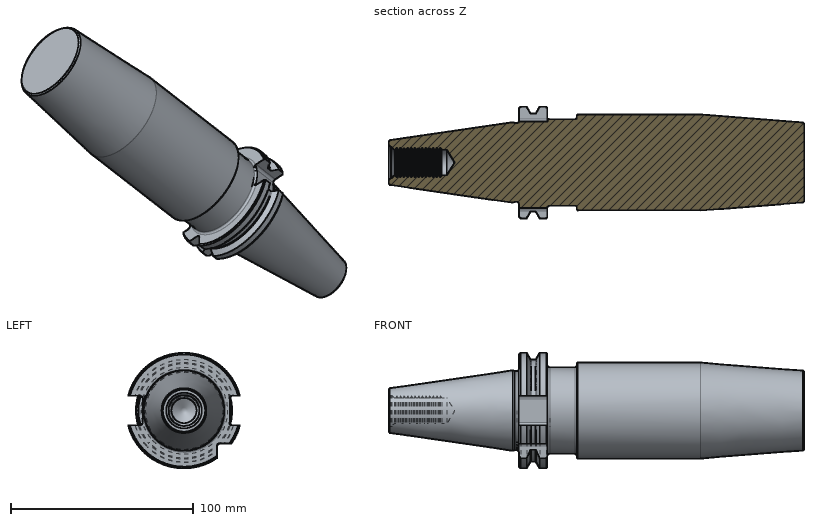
import cadquery as cq
import math

GAUGE_DIAMETER = 44.45
TAPER_PER_LENGTH = 7 / 24
SHANK_LENGTH = 68.25
TAIL_CHAMFER = 0.7
RELIEF_RADIUS = 21.8
RELIEF_START = -0.2
RELIEF_CHAMFER = 1.2
RELIEF_FILLET = 1.0

FLANGE_START = 3.2
FLANGE_END = 18.9
FLANGE_RADIUS = 63.55 / 2
FRONT_RIM_CHAMFER = 1.0
BACK_RIM_CHAMFER = 0.7
GROOVE_CENTER = 11.1
GROOVE_FLOOR_RADIUS = 56.25 / 2
GROOVE_FLOOR_WIDTH = 2.86
GROOVE_FILLET = 0.5
GROOVE_HALF_ANGLE = 30

SLOT_WIDTH = 16.1
NEAR_SLOT_FLOOR = 25.0
FAR_SLOT_FLOOR = 22.65
SLOT_FILLET = 1.5
NOTCH_Y = -18.2
NOTCH_Z = -18.2
NOTCH_FILLET = 1.2

NECK_RADIUS = 23.8
NECK_FILLET = 1.2
BODY_START = 35.0
BODY_RADIUS = 26.5
BODY_CHAMFER = 0.6
NOSE_LENGTH = 57.3
NOSE_ANGLE = 4.5
PROJECTION = 160.0
NOSE_CHAMFER = 0.8

COUNTERSINK_RADIUS = 9.8
PILOT_RADIUS = 8.5
PILOT_DEPTH = 1.6
THREAD_MINOR_RADIUS = 6.9
THREAD_MAJOR_RADIUS = 8.0
THREAD_PITCH = 2.0
THREAD_TURNS = 13
THREAD_CREST = 0.5
DRILL_DEPTH = 32.0
DRILL_TIP_ANGLE = 118


def revolved(outline):
    """Solid swept by a half profile turning about the X axis."""
    return outline.close().revolve(360, (0, 0, 0), (1, 0, 0))


def turned_body():
    """Shank, flange, neck, body and nose, turned from one profile."""
    gauge_radius = GAUGE_DIAMETER / 2
    half_taper = TAPER_PER_LENGTH / 2
    tail_radius = gauge_radius - SHANK_LENGTH * half_taper
    nose_start = PROJECTION - NOSE_LENGTH
    nose_slope = math.tan(math.radians(NOSE_ANGLE))
    nose_radius = BODY_RADIUS - NOSE_LENGTH * nose_slope
    groove_half = GROOVE_FLOOR_WIDTH / 2
    groove_rise = FLANGE_RADIUS - GROOVE_FLOOR_RADIUS
    groove_angle = math.radians(GROOVE_HALF_ANGLE)
    groove_mouth_half = groove_half + groove_rise * math.tan(groove_angle)
    fillet_reach = GROOVE_FILLET * math.tan((math.pi / 2 - groove_angle) / 2)
    flat_half = groove_half - fillet_reach
    flank_end = groove_half + fillet_reach * math.sin(groove_angle)
    flank_end_radius = GROOVE_FLOOR_RADIUS + fillet_reach * math.cos(groove_angle)
    outline = (
        cq.Workplane("XY")
        .moveTo(-SHANK_LENGTH, 0)
        .lineTo(-SHANK_LENGTH, tail_radius - TAIL_CHAMFER)
        .lineTo(TAIL_CHAMFER - SHANK_LENGTH, tail_radius + TAIL_CHAMFER * half_taper)
        .lineTo(RELIEF_START, gauge_radius + RELIEF_START * half_taper)
        .lineTo(RELIEF_START + RELIEF_CHAMFER, RELIEF_RADIUS)
        .lineTo(FLANGE_START - RELIEF_FILLET, RELIEF_RADIUS)
        .radiusArc((FLANGE_START, RELIEF_RADIUS + RELIEF_FILLET), -RELIEF_FILLET)
        .lineTo(FLANGE_START, FLANGE_RADIUS - FRONT_RIM_CHAMFER)
        .lineTo(FLANGE_START + FRONT_RIM_CHAMFER, FLANGE_RADIUS)
        .lineTo(GROOVE_CENTER - groove_mouth_half, FLANGE_RADIUS)
        .lineTo(GROOVE_CENTER - flank_end, flank_end_radius)
        .radiusArc((GROOVE_CENTER - flat_half, GROOVE_FLOOR_RADIUS), -GROOVE_FILLET)
        .lineTo(GROOVE_CENTER + flat_half, GROOVE_FLOOR_RADIUS)
        .radiusArc((GROOVE_CENTER + flank_end, flank_end_radius), -GROOVE_FILLET)
        .lineTo(GROOVE_CENTER + groove_mouth_half, FLANGE_RADIUS)
        .lineTo(FLANGE_END - BACK_RIM_CHAMFER, FLANGE_RADIUS)
        .lineTo(FLANGE_END, FLANGE_RADIUS - BACK_RIM_CHAMFER)
        .lineTo(FLANGE_END, NECK_RADIUS + NECK_FILLET)
        .radiusArc((FLANGE_END + NECK_FILLET, NECK_RADIUS), -NECK_FILLET)
        .lineTo(BODY_START - NECK_FILLET, NECK_RADIUS)
        .radiusArc((BODY_START, NECK_RADIUS + NECK_FILLET), -NECK_FILLET)
        .lineTo(BODY_START, BODY_RADIUS - BODY_CHAMFER)
        .lineTo(BODY_START + BODY_CHAMFER, BODY_RADIUS)
        .lineTo(nose_start, BODY_RADIUS)
        .lineTo(PROJECTION - NOSE_CHAMFER, nose_radius + NOSE_CHAMFER * nose_slope)
        .lineTo(PROJECTION, nose_radius - NOSE_CHAMFER)
        .lineTo(PROJECTION, 0)
    )
    return revolved(outline)


def flange_cutter(y_inner, y_outer, z_low, z_high):
    """Box across the flange thickness, between the given Y and Z limits."""
    thickness = FLANGE_END - FLANGE_START
    width = abs(y_outer - y_inner)
    block = cq.Workplane("XY").box(thickness, width, z_high - z_low, centered=False)
    return block.translate((FLANGE_START, min(y_inner, y_outer), z_low))


def drive_slot(side, floor_distance):
    """Slot open towards +Y (side = 1) or -Y (side = -1), with rounded floor corners."""
    cutter = flange_cutter(side * floor_distance, side * FLANGE_RADIUS, -SLOT_WIDTH / 2, SLOT_WIDTH / 2)
    floor = "<Y" if side > 0 else ">Y"
    return cutter.faces(floor).edges("|X").fillet(SLOT_FILLET)


def orientation_notch():
    """Corner notch on the -Y, -Z side of the flange."""
    cutter = flange_cutter(NOTCH_Y, -FLANGE_RADIUS, -FLANGE_RADIUS, NOTCH_Z)
    return cutter.edges("|X and >Y and >Z").fillet(NOTCH_FILLET)


def pull_stud_bore():
    """Countersunk blind bore whose thread is a row of ring grooves, ending in a drill tip."""
    countersink_depth = COUNTERSINK_RADIUS - PILOT_RADIUS
    step = PILOT_RADIUS - THREAD_MINOR_RADIUS
    groove_width = THREAD_PITCH - THREAD_CREST
    tip_depth = THREAD_MINOR_RADIUS / math.tan(math.radians(DRILL_TIP_ANGLE / 2))
    outline = (
        cq.Workplane("XY")
        .moveTo(0, 0)
        .lineTo(0, COUNTERSINK_RADIUS)
        .lineTo(countersink_depth, PILOT_RADIUS)
        .lineTo(PILOT_DEPTH, PILOT_RADIUS)
        .lineTo(PILOT_DEPTH + step, THREAD_MINOR_RADIUS)
    )
    for turn in range(THREAD_TURNS):
        groove_start = PILOT_DEPTH + step + THREAD_CREST + turn * THREAD_PITCH
        outline = (
            outline
            .lineTo(groove_start, THREAD_MINOR_RADIUS)
            .lineTo(groove_start + groove_width / 2, THREAD_MAJOR_RADIUS)
            .lineTo(groove_start + groove_width, THREAD_MINOR_RADIUS)
        )
    outline = outline.lineTo(DRILL_DEPTH, THREAD_MINOR_RADIUS).lineTo(DRILL_DEPTH + tip_depth, 0)
    return revolved(outline).translate((-SHANK_LENGTH, 0, 0))


result = (
    turned_body()
    .cut(drive_slot(-1, NEAR_SLOT_FLOOR))
    .cut(drive_slot(1, FAR_SLOT_FLOOR))
    .cut(orientation_notch())
    .cut(pull_stud_bore())
)